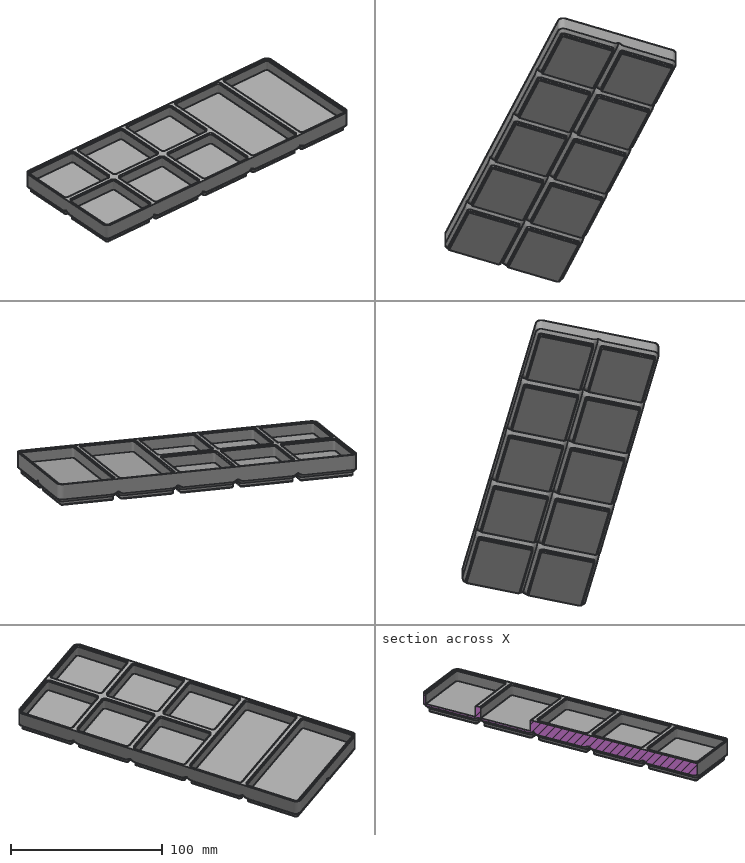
import cadquery as cq

pitch = 42.0
columns = 2
rows = 5
clearance = 0.5
height = 15.0

foot_chamfer = 0.8
foot_band = 1.8
foot_flare = 2.15
flare_start = foot_chamfer + foot_band
outer_radius = 3.75
floor_z = 7.0

pocket_wall = 2.25
rim_chamfer = 0.8
pocket_radius = 1.6
undivided_rows = 2

tray_x = columns * pitch - clearance
tray_y = rows * pitch - clearance
foot_top = pitch - clearance
foot_size = foot_top - 2 * foot_flare
foot_radius = outer_radius - foot_flare
full_flare = floor_z - flare_start


def grid_center(index, count):
    """Position of one cell along an axis whose cells are centred on the origin."""
    return (index - (count - 1) / 2) * pitch


def rounded_block(size_x, size_y, radius, bottom, top):
    """Upright block, centred on the origin, with rounded vertical edges."""
    block = cq.Workplane("XY").workplane(offset=bottom).rect(size_x, size_y).extrude(top - bottom)
    return block.edges("|Z").fillet(radius)


def make_foot():
    """One foot, its flare carried up to merge with its neighbours; the excess above is trimmed later."""
    base = rounded_block(foot_size, foot_size, foot_radius, 0, flare_start)
    base = base.faces("<Z").edges().chamfer(foot_chamfer)
    flare_size = foot_size + 2 * full_flare
    flare_radius = foot_radius + full_flare
    flare = rounded_block(flare_size, flare_size, flare_radius, flare_start, floor_z + full_flare)
    flare = flare.faces("<Z").edges().chamfer(full_flare)
    return base.union(flare)


def make_body():
    """Plain block over the feet, which are trimmed to the tray outline and to floor level."""
    body = rounded_block(tray_x, tray_y, outer_radius, floor_z, height)
    outline = rounded_block(tray_x, tray_y, outer_radius, 0, floor_z)
    foot = make_foot()
    for column in range(columns):
        for row in range(rows):
            place = (grid_center(column, columns), grid_center(row, rows), 0)
            body = body.union(foot.translate(place).intersect(outline))
    return body


def make_pocket(cells_wide):
    """Cutter for a pocket spanning whole cells in X, widening at the rim."""
    size_x = cells_wide * pitch - 2 * pocket_wall
    size_y = pitch - 2 * pocket_wall
    well = rounded_block(size_x, size_y, pocket_radius, floor_z, height)
    rim_x = size_x + 2 * rim_chamfer
    rim_y = size_y + 2 * rim_chamfer
    rim_radius = pocket_radius + rim_chamfer
    rim = rounded_block(rim_x, rim_y, rim_radius, height - rim_chamfer, height + rim_chamfer)
    rim = rim.faces("<Z").edges().chamfer(rim_chamfer)
    return well.union(rim)


def cut_pockets(body):
    """Full-width pockets in the +Y rows, one pocket per cell in the others."""
    wide_pocket = make_pocket(columns)
    cell_pocket = make_pocket(1)
    for row in range(rows):
        y = grid_center(row, rows)
        if row >= rows - undivided_rows:
            body = body.cut(wide_pocket.translate((0, y, 0)))
            continue
        for column in range(columns):
            body = body.cut(cell_pocket.translate((grid_center(column, columns), y, 0)))
    return body


result = cut_pockets(make_body())